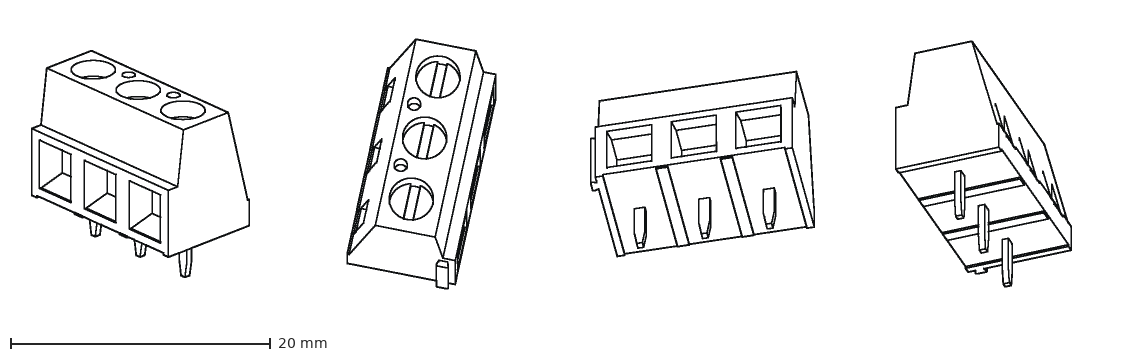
import cadquery as cq

overall_length = 15.96
pole_count = 3
pitch = 5.08

housing_width = 15.48
housing_depth = 8.5
housing_height = 10.3
front_ledge_depth = 0.97
front_ledge_height = 5.67
rear_ledge_depth = 0.16
rear_ledge_height = 2.2
top_front_inset = 1.58
top_rear_inset = 2.22

foot_height = 0.16
end_foot_width = 0.59
middle_foot_width = 0.93
middle_foot_setback = 0.08

opening_width = 3.55
opening_inner_width = 2.75
opening_bottom = 0.9
opening_top = 4.98
opening_inner_bottom = 1.7
opening_inner_top = 3.8
opening_depth = 2.03
opening_floor_flat = 0.16
opening_roof_flat = 0.95

screw_diameter = 3.4
screw_y = 4.0
screw_well_depth = 1.34
screw_slot_width = 0.75
screw_slot_depth = 0.55
test_hole_diameter = 1.0
test_hole_y = 5.36
test_hole_depth = screw_well_depth

notch_width = 1.92
notch_depth = 0.94
notch_floor_edge = 0.37
notch_ledge_drop = 0.16
notch_floor_height = 2.89

rib_base_width = 0.69
rib_outer_width = 1.04
rib_projection = overall_length - housing_width
rib_height = 4.98
rib_y = 0.94
rib_corner_radius = 0.12

pin_width = 0.86
pin_thickness = 0.51
pin_tip_width = 0.45
pin_taper_length = 1.3
pin_projection = 3.8

half_width = housing_width / 2
pole_positions = [(i - (pole_count - 1) / 2) * pitch for i in range(pole_count)]
gap_positions = [x + pitch / 2 for x in pole_positions[:-1]]


def box(width, depth, height, x, y, z):
    """Box centred on x, starting at y and z."""
    return cq.Workplane("XY").box(width, depth, height, centered=(True, False, False)).translate((x, y, z))


def side_profile(points, x, width):
    """Solid with a (Y, Z) outline, centred on x."""
    return cq.Workplane("YZ").polyline(points).close().extrude(width / 2, both=True).translate((x, 0, 0))


def housing_block():
    outline = [
        (0, foot_height),
        (0, front_ledge_height),
        (front_ledge_depth, front_ledge_height),
        (top_front_inset, housing_height),
        (housing_depth - top_rear_inset, housing_height),
        (housing_depth - rear_ledge_depth, rear_ledge_height),
        (housing_depth, rear_ledge_height),
        (housing_depth, foot_height),
    ]
    return side_profile(outline, 0, housing_width)


def feet():
    end_x = (housing_width - end_foot_width) / 2
    bars = box(end_foot_width, housing_depth, foot_height, -end_x, 0, 0)
    bars = bars.union(box(end_foot_width, housing_depth, foot_height, end_x, 0, 0))
    middle_depth = housing_depth - 2 * middle_foot_setback
    for x in gap_positions:
        bars = bars.union(box(middle_foot_width, middle_depth, foot_height, x, middle_foot_setback, 0))
    return bars


def wire_opening(x):
    """Funnel whose side walls taper all the way, while floor and roof run level before they slope."""
    outline = [
        (0, opening_bottom),
        (opening_floor_flat, opening_bottom),
        (opening_depth, opening_inner_bottom),
        (opening_depth, opening_inner_top),
        (opening_roof_flat, opening_top),
        (0, opening_top),
    ]
    profile = side_profile(outline, 0, opening_width)
    plan = (
        cq.Workplane("XY")
        .polyline([
            (-opening_width / 2, 0),
            (opening_width / 2, 0),
            (opening_inner_width / 2, opening_depth),
            (-opening_inner_width / 2, opening_depth),
        ])
        .close()
        .extrude(housing_height)
    )
    return profile.intersect(plan).translate((x, 0, 0))


def top_hole(diameter, depth, x, y):
    return cq.Workplane("XY", origin=(x, y, housing_height - depth)).circle(diameter / 2).extrude(depth)


def screw_well(x):
    """Round well with a driver slot across its floor."""
    well = top_hole(screw_diameter, screw_well_depth, x, screw_y)
    slot_bottom = housing_height - screw_well_depth - screw_slot_depth
    slot_y = screw_y - screw_slot_width / 2
    slot_box = box(screw_diameter, screw_slot_width, screw_slot_depth, x, slot_y, slot_bottom)
    slot = top_hole(screw_diameter, screw_well_depth + screw_slot_depth, x, screw_y).intersect(slot_box)
    return well.union(slot)


def rear_notch(x):
    """Notch through the rear slope, with a level floor and a slightly lowered ledge behind it."""
    notch_ledge_height = rear_ledge_height - notch_ledge_drop
    outline = [
        (housing_depth, notch_ledge_height),
        (housing_depth - rear_ledge_depth, notch_ledge_height),
        (housing_depth - notch_floor_edge, notch_floor_height),
        (housing_depth - notch_depth, notch_floor_height),
        (housing_depth - notch_depth, housing_height),
        (housing_depth, housing_height),
    ]
    return side_profile(outline, x, notch_width)


def dovetail_rib():
    return (
        cq.Workplane("XY")
        .polyline([
            (-half_width, rib_y - rib_base_width / 2),
            (-half_width - rib_projection, rib_y - rib_outer_width / 2),
            (-half_width - rib_projection, rib_y + rib_outer_width / 2),
            (-half_width, rib_y + rib_base_width / 2),
        ])
        .close()
        .extrude(rib_height)
        .edges("|Z and <X")
        .fillet(rib_corner_radius)
    )


def make_housing():
    housing = housing_block().union(feet()).union(dovetail_rib())
    for x in pole_positions:
        housing = housing.cut(wire_opening(x)).cut(screw_well(x)).cut(rear_notch(x))
    for x in gap_positions:
        housing = housing.cut(top_hole(test_hole_diameter, test_hole_depth, x, test_hole_y))
    return housing


def make_pin(x):
    """Flat pin with a tapered tip, standing against the underside of the housing."""
    taper_z = pin_taper_length - pin_projection
    return (
        cq.Workplane("XZ")
        .polyline([
            (-pin_width / 2, foot_height),
            (pin_width / 2, foot_height),
            (pin_width / 2, taper_z),
            (pin_tip_width / 2, -pin_projection),
            (-pin_tip_width / 2, -pin_projection),
            (-pin_width / 2, taper_z),
        ])
        .close()
        .extrude(pin_thickness / 2, both=True)
        .translate((x, housing_depth / 2, 0))
    )


housing = make_housing()
pins = [make_pin(x) for x in pole_positions]

result = cq.Compound.makeCompound([housing.val(), *[pin.val() for pin in pins]])